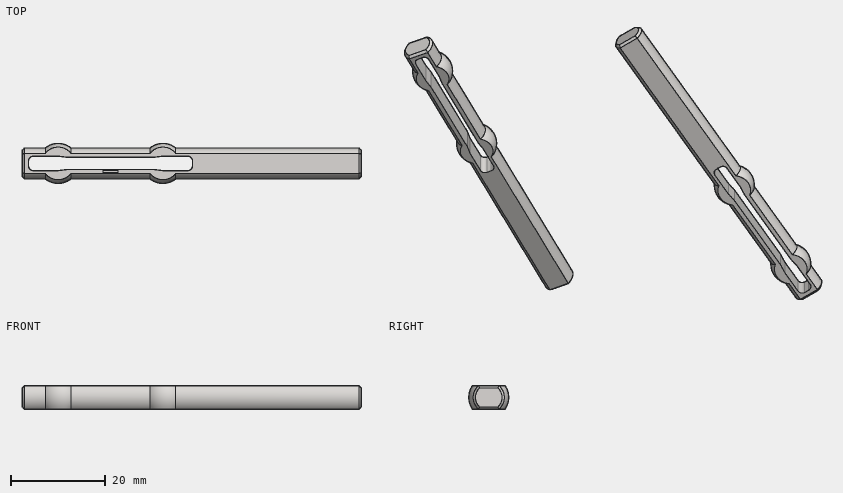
import cadquery as cq

LENGTH = 71.9
ROD_DIAMETER = 6.6
THICKNESS = 5.0
END_CHAMFER = 0.5

BALL_DIAMETER = 8.55
BALL_POSITIONS = (7.6, 29.8)

SLOT_START = 1.4
SLOT_WIDTH = 3.0
SLOT_CORNER_RADIUS = 1.0
WAIST_WIDTH = 2.5
WAIST_RAMP = 2.0

MARK_LENGTH = 3.15
MARK_WIDTH = 0.35
MARK_DEPTH = 0.2
MARK_OFFSET = 1.7

ball_middle = sum(BALL_POSITIONS) / 2
slot_length = 2 * (ball_middle - SLOT_START)


def make_bar():
    """Flattened rod along X with every edge of both ends chamfered."""
    rod = cq.Workplane("YZ").circle(ROD_DIAMETER / 2).extrude(LENGTH)
    flats = cq.Workplane("XY").box(LENGTH, ROD_DIAMETER, THICKNESS, centered=(False, True, True))
    return rod.intersect(flats).faces("<X or >X").edges().chamfer(END_CHAMFER)


def make_ball(x):
    """Ball centred on the rod axis, flattened to the bar thickness."""
    ball = cq.Workplane("XY").sphere(BALL_DIAMETER / 2)
    flats = cq.Workplane("XY").box(BALL_DIAMETER, BALL_DIAMETER, THICKNESS)
    return ball.intersect(flats).translate((x, 0, 0))


def make_slot():
    """Round-cornered slot with a rail along each side wall narrowing its middle."""
    slot = (
        cq.Workplane("XY")
        .box(slot_length, SLOT_WIDTH, THICKNESS)
        .edges("|Z")
        .fillet(SLOT_CORNER_RADIUS)
        .translate((ball_middle, 0, 0))
    )
    first_ball, second_ball = BALL_POSITIONS
    rail = (
        cq.Workplane("XY", origin=(0, 0, -THICKNESS / 2))
        .moveTo(first_ball, SLOT_WIDTH / 2)
        .lineTo(first_ball + WAIST_RAMP, WAIST_WIDTH / 2)
        .lineTo(second_ball - WAIST_RAMP, WAIST_WIDTH / 2)
        .lineTo(second_ball, SLOT_WIDTH / 2)
        .close()
        .extrude(THICKNESS)
    )
    return slot.cut(rail).cut(rail.mirror("XZ"))


def make_mark():
    """Small rectangular recess beside the slot on the -Y side."""
    return (
        cq.Workplane("XY", origin=(ball_middle, -MARK_OFFSET, THICKNESS / 2))
        .rect(MARK_LENGTH, MARK_WIDTH)
        .extrude(-MARK_DEPTH)
    )


result = make_bar()
for ball_x in BALL_POSITIONS:
    result = result.union(make_ball(ball_x))
result = result.cut(make_slot()).cut(make_mark())